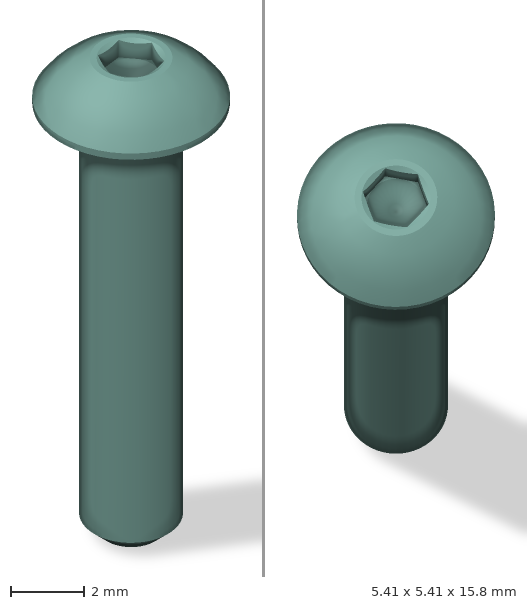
import cadquery as cq
import math

INCH = 25.4

head_diameter = 0.213 * INCH
head_height = 0.059 * INCH
rim_height = 0.21
crown_flat_diameter = 2.26

shank_diameter = 0.112 * INCH
shank_length = 9 / 16 * INCH
tip_chamfer = 0.5

socket_across_flats = INCH / 16
socket_across_corners = socket_across_flats / math.cos(math.radians(30))
socket_depth = 0.6
socket_floor_angle = 120
mouth_clearance = 0.05
socket_mouth_diameter = socket_across_corners + mouth_clearance
mouth_cone_angle = 120


def make_cone(diameter, included_angle, top_z):
    """Cone pointing down the Z axis, with its open end at top_z."""
    radius = diameter / 2
    depth = radius / math.tan(math.radians(included_angle / 2))
    return cq.Workplane("XY").add(
        cq.Solid.makeCone(0, radius, depth, cq.Vector(0, 0, top_z - depth))
    )


def make_head():
    """Revolved head: short cylindrical rim below a spherical dome with a flat crown."""
    rim_radius = head_diameter / 2
    crown_radius = crown_flat_diameter / 2

    sphere_z = (crown_radius**2 + head_height**2 - rim_radius**2 - rim_height**2) / (
        2 * (head_height - rim_height)
    )
    sphere_radius = math.hypot(rim_radius, rim_height - sphere_z)
    middle_radius = (rim_radius + crown_radius) / 2
    middle_z = sphere_z + math.sqrt(sphere_radius**2 - middle_radius**2)

    return (
        cq.Workplane("XZ")
        .lineTo(rim_radius, 0)
        .lineTo(rim_radius, rim_height)
        .threePointArc((middle_radius, middle_z), (crown_radius, head_height))
        .lineTo(0, head_height)
        .close()
        .revolve(360, (0, 0), (0, 1))
    )


def make_shank():
    """Plain cylindrical shank with a chamfered tip."""
    return (
        cq.Workplane("XY")
        .circle(shank_diameter / 2)
        .extrude(-shank_length)
        .faces("<Z")
        .chamfer(tip_chamfer)
    )


def make_socket():
    """Hex recess with two flats facing X, a conical floor and a countersunk mouth."""
    floor_z = head_height - socket_depth
    hexagon = (
        cq.Workplane("XY")
        .workplane(offset=floor_z)
        .transformed(rotate=(0, 0, 90))
        .polygon(6, socket_across_corners)
        .extrude(socket_depth)
    )
    floor = make_cone(socket_across_flats, socket_floor_angle, floor_z)
    mouth = make_cone(socket_mouth_diameter, mouth_cone_angle, head_height)
    return hexagon.union(floor).union(mouth)


result = make_head().union(make_shank()).cut(make_socket())